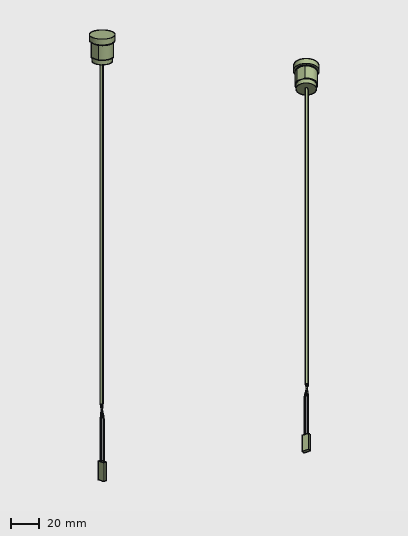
import cadquery as cq

total_height = 334.0

housing_height = 20.0
cap_diameter = 18.0
cap_height = 4.5
neck_diameter = 14.7
neck_height = 1.0
barrel_diameter = 16.0
barrel_width_across_flats = 14.7
collar_diameter = 14.5
collar_height = 3.7

strand_diameter = 1.85
strand_offset_x = 0.27
strand_offset_y = 0.85
cable_center_x = -0.25
cable_center_y = -0.25
cable_end_z = 57.5

lead_diameter = 1.0
lead_spacing = 2.7
lead_straight_top_z = 44.5

connector_width = 5.5
connector_depth = 2.5
connector_height = 14.0

housing_bottom_z = total_height - housing_height
barrel_bottom_z = housing_bottom_z + collar_height
cap_bottom_z = total_height - cap_height
barrel_top_z = cap_bottom_z - neck_height


def cylinder(diameter, bottom_z, top_z, x=0.0, y=0.0):
    """Upright cylinder between two heights."""
    return (
        cq.Workplane("XY", origin=(x, y, bottom_z))
        .circle(diameter / 2)
        .extrude(top_z - bottom_z)
    )


def make_barrel():
    """Round barrel with a flat on its -Y and +Y sides."""
    barrel_height = barrel_top_z - barrel_bottom_z
    slab = (
        cq.Workplane("XY", origin=(0, 0, barrel_bottom_z))
        .rect(barrel_diameter, barrel_width_across_flats)
        .extrude(barrel_height)
    )
    return cylinder(barrel_diameter, barrel_bottom_z, barrel_top_z).intersect(slab)


def make_housing():
    """Solid capped housing, with a groove under the cap and a collar below the barrel."""
    collar = cylinder(collar_diameter, housing_bottom_z, barrel_bottom_z)
    neck = cylinder(neck_diameter, barrel_top_z, cap_bottom_z)
    cap = cylinder(cap_diameter, cap_bottom_z, total_height)
    return make_barrel().union(collar).union(neck).union(cap)


def make_conductor(side):
    """One strand and its bare lead: side 1 runs from +Y to -X, side -1 from -Y to +X."""
    strand_x = cable_center_x - side * strand_offset_x
    strand_y = cable_center_y + side * strand_offset_y
    lead_x = -side * lead_spacing / 2

    strand = cylinder(strand_diameter, cable_end_z, housing_bottom_z, strand_x, strand_y)
    lead = cylinder(lead_diameter, connector_height, lead_straight_top_z, lead_x)

    bend_start = cq.Vector(strand_x, strand_y, cable_end_z)
    bend_end = cq.Vector(lead_x, 0, lead_straight_top_z)
    down = cq.Vector(0, 0, -1)
    bend_path = cq.Edge.makeSpline([bend_start, bend_end], tangents=[down, down])
    bend = (
        cq.Workplane("XY", origin=bend_start.toTuple())
        .circle(lead_diameter / 2)
        .sweep(cq.Workplane(bend_path))
    )
    return strand.union(bend).union(lead)


def make_harness():
    """Connector block and both conductors, as one body that ends under the housing."""
    harness = (
        cq.Workplane("XY")
        .rect(connector_width, connector_depth)
        .extrude(connector_height)
    )
    for side in (-1, 1):
        harness = harness.union(make_conductor(side))
    return harness


housing = make_housing()
harness = make_harness()
result = cq.Compound.makeCompound([housing.val(), harness.val()])